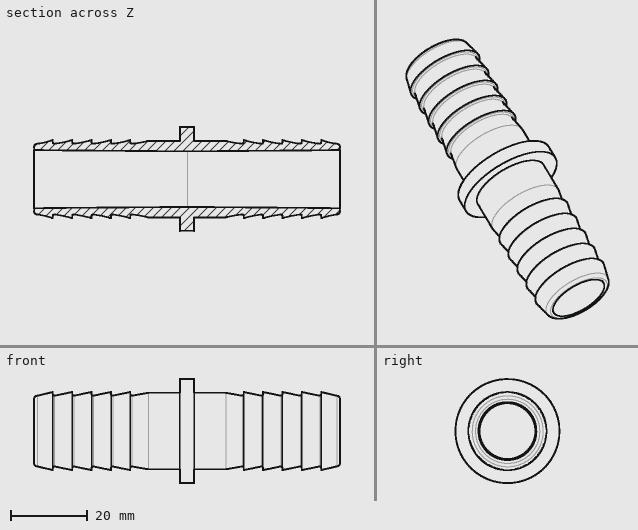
import cadquery as cq

length = 79.7
half_length = length / 2
flange_diameter = 27.2
flange_width = 3.7
tube_diameter = 20.0
tube_radius = tube_diameter / 2
bore_end_radius = 7.6
bore_middle_radius = 7.25

barb_count = 5
first_crest = 4.95
last_crest = 25.1
barb_pitch = (last_crest - first_crest) / (barb_count - 1)
crest_radius = 10.2
valley_radius = 9.25
barb_root_fillet = 0.4
tube_start = 29.8

nose_radius = valley_radius
nose_round = 0.9


def make_hose_end():
    """Solid barbed half on the -X side, running from its open end to the middle."""
    end = -half_length
    profile = cq.Workplane("XZ").moveTo(end, 0).lineTo(end, nose_radius - nose_round)
    profile = profile.radiusArc((end + nose_round, nose_radius), nose_round)
    for index in range(barb_count):
        crest = end + first_crest + index * barb_pitch
        profile = profile.lineTo(crest, crest_radius)
        profile = profile.lineTo(crest, valley_radius + barb_root_fillet)
        profile = profile.radiusArc((crest + barb_root_fillet, valley_radius), -barb_root_fillet)
    profile = profile.lineTo(end + tube_start, tube_radius).lineTo(0, tube_radius).lineTo(0, 0).close()
    return profile.revolve(360, (0, 0, 0), (1, 0, 0))


def make_flange():
    """Round stop collar in the middle of the tube."""
    return cq.Workplane("YZ").circle(flange_diameter / 2).extrude(flange_width / 2, both=True)


def cut_bore(body):
    """Through bore, widest at both open ends and tapering to the middle."""
    bore = (
        cq.Workplane("XZ")
        .moveTo(-half_length, 0)
        .lineTo(-half_length, bore_end_radius)
        .lineTo(0, bore_middle_radius)
        .lineTo(half_length, bore_end_radius)
        .lineTo(half_length, 0)
        .close()
        .revolve(360, (0, 0, 0), (1, 0, 0))
    )
    return body.cut(bore)


hose_end = make_hose_end()
fitting = hose_end.union(hose_end.mirror("YZ")).union(make_flange())
result = cut_bore(fitting)